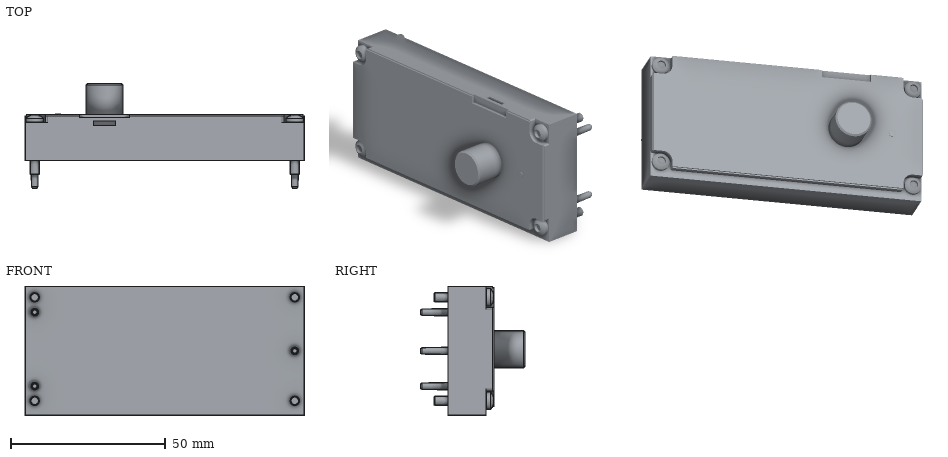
import cadquery as cq


LENGTH = 90.5
HEIGHT = 41.8
BASE_DEPTH = 12.4
RIM_DEPTH = 14.5
COVER_DEPTH = 15.0
COVER_INSET = 0.4
RAISED_BOTTOM = 2.5

SCREW_X_LEFT = 3.1
SCREW_X_RIGHT = 87.4
SCREW_Z_LOW = 4.7
SCREW_Z_HIGH = 38.3
SCREW_XZ = [(x, z) for x in (SCREW_X_LEFT, SCREW_X_RIGHT) for z in (SCREW_Z_LOW, SCREW_Z_HIGH)]
SHANK_DIAMETER = 3.0
SHANK_LENGTH = 4.5
SHANK_CHAMFER = 0.3
HEAD_DIAMETER = 5.6
HEAD_RIM = 1.4
HEAD_BEVEL = 0.2
SOCKET_DIAMETER = 2.8
SOCKET_DEPTH = 1.4
NOTCH_REACH_X = 3.5
NOTCH_REACH_Z = 3.3
NOTCH_CORNER = 3.2
NOTCH_LIP = 0.5

KNOB_X = 25.7
KNOB_DIAMETER = 12.0
KNOB_END = 25.1
KNOB_CHAMFER = 0.5
KNOB_Z = 21.45
MARK_X = 10.6
MARK_DIAMETER = 1.6
MARK_HEIGHT = 0.2

RECESS_WIDTH = 16.3
RECESS_FLOOR = 13.9
SLOT_WIDTH = 7.2
SLOT_THICKNESS = 1.4
SLOT_Y = 12.1
CUT_DEPTH = 2.7

PIN_BASE_DIAMETER = 2.4
PIN_END_DIAMETER = 2.2
PIN_TIP_DIAMETER = 1.45
PIN_LENGTH = 9.0
PIN_TIP_LENGTH = 0.6
PIN_SPACING = 24.0
PIN_XZ = [
    (SCREW_X_LEFT, KNOB_Z - PIN_SPACING / 2),
    (SCREW_X_LEFT, KNOB_Z + PIN_SPACING / 2),
    (SCREW_X_RIGHT, HEIGHT / 2),
]


def box(x0, x1, y0, y1, z0, z1):
    return cq.Workplane("XY").box(x1 - x0, y1 - y0, z1 - z0, centered=False).translate((x0, y0, z0))


def rod(x, z, diameter, y0, y1):
    """Cylinder along Y."""
    profile = cq.Workplane("XZ", origin=(x, y0, z)).circle(diameter / 2)
    return profile.extrude(y0 - y1)


def raised_layer(y0, y1, inset, lip):
    """Layer of the raised body with its corners cut away around the screws; a lip of 0 stays sharp."""
    left, right = inset, LENGTH - inset
    bottom, top = RAISED_BOTTOM + inset, HEIGHT - inset
    layer = box(left, right, y0, y1, bottom, top)
    for x, z in SCREW_XZ:
        side_x = -1 if x < LENGTH / 2 else 1
        side_z = -1 if z < HEIGHT / 2 else 1
        wall_x = x - side_x * NOTCH_REACH_X
        wall_z = z - side_z * NOTCH_REACH_Z
        edge_x = left if side_x < 0 else right
        edge_z = bottom if side_z < 0 else top
        layer = layer.cut(notch(wall_x, wall_z, side_x, side_z, y0, y1))
        if lip:
            for lip_x, lip_z in [(wall_x, edge_z), (edge_x, wall_z)]:
                middle = (lip_x, (y0 + y1) / 2, lip_z)
                layer = layer.edges(cq.selectors.NearestToPointSelector(middle)).fillet(lip)
    return layer


def notch(wall_x, wall_z, side_x, side_z, y0, y1):
    """Corner cutter that runs outward from its two walls and has a rounded inner corner."""
    reach = 2 * HEAD_DIAMETER
    cutter = cq.Workplane("XY").box(reach, y1 - y0, reach)
    cutter = cutter.edges("|Y").fillet(NOTCH_CORNER)
    centre = (wall_x + side_x * reach / 2, (y0 + y1) / 2, wall_z + side_z * reach / 2)
    return cutter.translate(centre)


def pin(x, z):
    """Slightly tapered terminal pin with a conical tip, pointing to -Y."""
    shoulder = PIN_LENGTH - PIN_TIP_LENGTH
    profile = (
        cq.Workplane("XY")
        .moveTo(0, 0)
        .lineTo(PIN_BASE_DIAMETER / 2, 0)
        .lineTo(PIN_END_DIAMETER / 2, -shoulder)
        .lineTo(PIN_TIP_DIAMETER / 2, -PIN_LENGTH)
        .lineTo(0, -PIN_LENGTH)
        .close()
    )
    return profile.revolve(360, (0, 0, 0), (0, 1, 0)).translate((x, 0, z))


def make_housing():
    body = box(0, LENGTH, 0, BASE_DEPTH, 0, HEIGHT)
    body = body.union(raised_layer(BASE_DEPTH, RIM_DEPTH, 0, NOTCH_LIP))
    body = body.union(raised_layer(RIM_DEPTH, COVER_DEPTH, COVER_INSET, 0))

    half_recess = RECESS_WIDTH / 2
    half_slot = SLOT_WIDTH / 2
    floor_z = HEIGHT - CUT_DEPTH
    recess = box(KNOB_X - half_recess, KNOB_X + half_recess, RECESS_FLOOR, COVER_DEPTH, floor_z, HEIGHT)
    slot_start = SLOT_Y - SLOT_THICKNESS / 2
    slot_end = slot_start + SLOT_THICKNESS
    slot = box(KNOB_X - half_slot, KNOB_X + half_slot, slot_start, slot_end, floor_z, HEIGHT)
    body = body.cut(recess).cut(slot)

    knob = rod(KNOB_X, KNOB_Z, KNOB_DIAMETER, COVER_DEPTH, KNOB_END).faces(">Y").chamfer(KNOB_CHAMFER)
    mark = rod(MARK_X, KNOB_Z, MARK_DIAMETER, COVER_DEPTH, COVER_DEPTH + MARK_HEIGHT)
    body = body.union(knob).union(mark)
    for x, z in PIN_XZ:
        body = body.union(pin(x, z))

    for x, z in SCREW_XZ:
        body = body.cut(rod(x, z, SHANK_DIAMETER, 0, BASE_DEPTH))
    return body


def make_screw(x, z):
    """Screw with a domed head on the shelf and its shank through the housing."""
    shank = rod(x, z, SHANK_DIAMETER, -SHANK_LENGTH, BASE_DEPTH).faces("<Y").chamfer(SHANK_CHAMFER)
    head_radius = HEAD_DIAMETER / 2
    dome_height = COVER_DEPTH - BASE_DEPTH - HEAD_RIM
    dome_radius = (head_radius**2 + dome_height**2) / (2 * dome_height)
    rim = rod(x, z, HEAD_DIAMETER, BASE_DEPTH, COVER_DEPTH).faces("<Y").chamfer(HEAD_BEVEL)
    dome = cq.Workplane("XY").sphere(dome_radius).translate((x, COVER_DEPTH - dome_radius, z))
    socket = rod(x, z, SOCKET_DIAMETER, COVER_DEPTH - SOCKET_DEPTH, COVER_DEPTH)
    head = rim.intersect(dome).cut(socket)
    return shank.union(head)


housing = make_housing()
screws = [make_screw(x, z) for x, z in SCREW_XZ]

result = cq.Compound.makeCompound([housing.val(), *[screw.val() for screw in screws]])